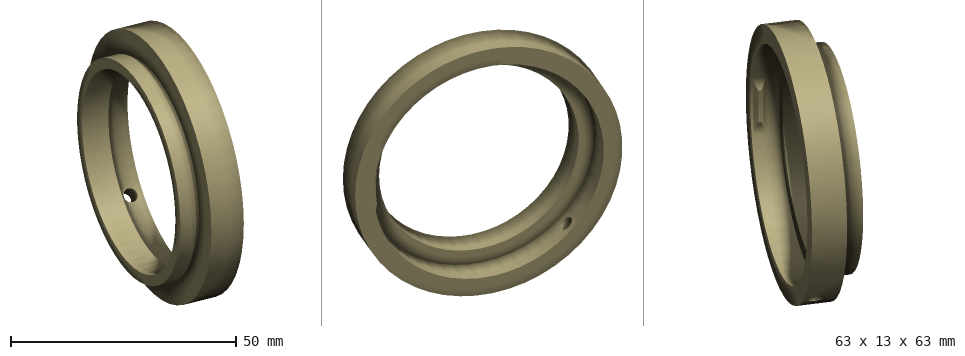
import cadquery as cq
import math

outer_radius = 31.5
bore_radius = 23.5
counterbore_radius = 27.1
spigot_radius = 26.0
groove_radius = 25.45
flange_length = 8.0
groove_length = 1.0
spigot_length = 4.0
counterbore_depth = 6.5
screw_hole_diameter = 3.2
screw_hole_setback = 3.0
screw_hole_angle = 224.2
bump_height = 1.0
bump_setback = 0.55
bump_crest_length = 0.5
bump_half_angle = 15.0
bump_ramp_angle = 6.0
bump_root = 0.5

total_length = flange_length + groove_length + spigot_length
back_face = total_length / 2


def disc(radius, length, back_y):
    """Cylinder on the Y axis, extending toward -Y from back_y."""
    return cq.Workplane("XZ", origin=(0, back_y, 0)).circle(radius).extrude(length)


def screw_hole():
    """Radial cutter reaching from the ring axis through the flange wall."""
    cutter = (
        cq.Workplane("YZ")
        .center(back_face - screw_hole_setback, 0)
        .circle(screw_hole_diameter / 2)
        .extrude(outer_radius * 1.1)
    )
    return cutter.rotate((0, 0, 0), (0, 1, 0), -screw_hole_angle)


def polar_point(radius, degrees):
    """Point on the XZ plane at an angle from +X."""
    angle = math.radians(degrees)
    return (radius * math.cos(angle), radius * math.sin(angle))


def retaining_bump():
    """Inward bump on the counterbore wall with curved end ramps and 45 degree slopes front and rear."""
    crest_radius = counterbore_radius - bump_height
    root_radius = counterbore_radius + bump_root
    ramp_mid_radius = counterbore_radius - bump_height / 4
    crest_angle = bump_half_angle - bump_ramp_angle
    ramp_mid_angle = bump_half_angle - bump_ramp_angle / 2
    rear = back_face - bump_setback
    crest_rear = rear - bump_height
    crest_front = crest_rear - bump_crest_length
    root_rear = rear + bump_root
    root_front = crest_front - bump_height - bump_root

    outline = (
        cq.Workplane("XZ", origin=(0, root_rear, 0))
        .moveTo(*polar_point(root_radius, -bump_half_angle))
        .lineTo(*polar_point(counterbore_radius, -bump_half_angle))
        .threePointArc(polar_point(ramp_mid_radius, -ramp_mid_angle), polar_point(crest_radius, -crest_angle))
        .threePointArc((crest_radius, 0), polar_point(crest_radius, crest_angle))
        .threePointArc(
            polar_point(ramp_mid_radius, ramp_mid_angle),
            polar_point(counterbore_radius, bump_half_angle),
        )
        .lineTo(*polar_point(root_radius, bump_half_angle))
        .threePointArc((root_radius, 0), polar_point(root_radius, -bump_half_angle))
        .close()
        .extrude(root_rear - root_front)
    )
    sloped_section = (
        cq.Workplane("XY")
        .moveTo(crest_radius, crest_rear)
        .lineTo(root_radius, root_rear)
        .lineTo(root_radius, root_front)
        .lineTo(crest_radius, crest_front)
        .close()
        .revolve(360, (0, 0), (0, 1))
    )
    return outline.intersect(sloped_section)


groove_back = back_face - flange_length
spigot_back = groove_back - groove_length

ring = (
    disc(outer_radius, flange_length, back_face)
    .union(disc(groove_radius, groove_length, groove_back))
    .union(disc(spigot_radius, spigot_length, spigot_back))
    .cut(disc(bore_radius, total_length, back_face))
    .cut(disc(counterbore_radius, counterbore_depth, back_face))
)

result = ring.cut(screw_hole()).union(retaining_bump())